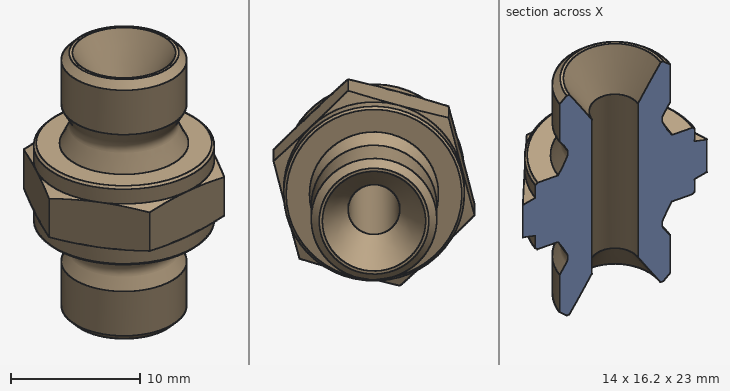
import cadquery as cq
import math

total_length = 23.0
half_length = total_length / 2

across_flats = 14.0
across_corners = across_flats / math.cos(math.radians(30))
body_length = 7.0
collar_length = 1.5
collar_edge_chamfer = 0.2
hex_length = body_length - 2 * collar_length
hex_corner_angle = 15.0

thread_diameter = 9.73
thread_length = 4.55
thread_chamfer = 0.62

runout_angle = 30.0
runout_length = 1.0
neck_arc_radius = 1.0
neck_base_diameter = 10.0

bore_diameter = 4.0
seat_diameter = 8.0
seat_angle = 60.0
seat_depth = (seat_diameter - bore_diameter) / 2 / math.tan(math.radians(seat_angle / 2))


def make_end():
    """Solid of revolution for the upper end and collar, from mid-plane to end face."""
    thread_radius = thread_diameter / 2
    collar_radius = across_flats / 2
    collar_top = body_length / 2
    thread_bottom = half_length - thread_length

    upper_tilt = math.radians(runout_angle)
    upper_radius = thread_radius - runout_length * math.tan(upper_tilt)
    upper_z = thread_bottom - runout_length

    centre_radius = upper_radius + neck_arc_radius * math.cos(upper_tilt)
    centre_z = upper_z - neck_arc_radius * math.sin(upper_tilt)

    base_radius = neck_base_diameter / 2
    base_to_centre = math.hypot(centre_radius - base_radius, centre_z - collar_top)
    centre_tilt = math.atan2(centre_radius - base_radius, centre_z - collar_top)
    lower_tilt = math.asin(neck_arc_radius / base_to_centre) - centre_tilt
    lower_radius = centre_radius - neck_arc_radius * math.cos(lower_tilt)
    lower_z = centre_z - neck_arc_radius * math.sin(lower_tilt)

    return (
        cq.Workplane("XZ")
        .moveTo(0, 0)
        .lineTo(collar_radius, 0)
        .lineTo(collar_radius, collar_top - collar_edge_chamfer)
        .lineTo(collar_radius - collar_edge_chamfer, collar_top)
        .lineTo(base_radius, collar_top)
        .lineTo(lower_radius, lower_z)
        .threePointArc((centre_radius - neck_arc_radius, centre_z), (upper_radius, upper_z))
        .lineTo(thread_radius, thread_bottom)
        .lineTo(thread_radius, half_length - thread_chamfer)
        .lineTo(thread_radius - thread_chamfer, half_length)
        .lineTo(0, half_length)
        .close()
        .revolve(360, (0, 0, 0), (0, 1, 0))
    )


def make_hexagon():
    """Hexagon with corners on the Y axis, its corners bevelled by a cone at both ends."""
    hexagon = (
        cq.Workplane("XY")
        .polygon(6, across_corners)
        .extrude(hex_length / 2, both=True)
        .rotate((0, 0, 0), (0, 0, 1), 90)
    )
    flat_radius = across_flats / 2
    corner_radius = across_corners / 2
    bevel_drop = (corner_radius - flat_radius) * math.tan(math.radians(hex_corner_angle))
    half_hex = hex_length / 2
    envelope = (
        cq.Workplane("XZ")
        .moveTo(0, -half_hex)
        .lineTo(flat_radius, -half_hex)
        .lineTo(corner_radius, bevel_drop - half_hex)
        .lineTo(corner_radius, half_hex - bevel_drop)
        .lineTo(flat_radius, half_hex)
        .lineTo(0, half_hex)
        .close()
        .revolve(360, (0, 0, 0), (0, 1, 0))
    )
    return hexagon.intersect(envelope)


def make_bore():
    """Through bore with a conical seat at each end."""
    bore_radius = bore_diameter / 2
    seat_radius = seat_diameter / 2
    return (
        cq.Workplane("XZ")
        .moveTo(0, -half_length)
        .lineTo(seat_radius, -half_length)
        .lineTo(bore_radius, seat_depth - half_length)
        .lineTo(bore_radius, half_length - seat_depth)
        .lineTo(seat_radius, half_length)
        .lineTo(0, half_length)
        .close()
        .revolve(360, (0, 0, 0), (0, 1, 0))
    )


upper_end = make_end()
lower_end = upper_end.mirror("XY")
result = upper_end.union(lower_end).union(make_hexagon()).cut(make_bore())